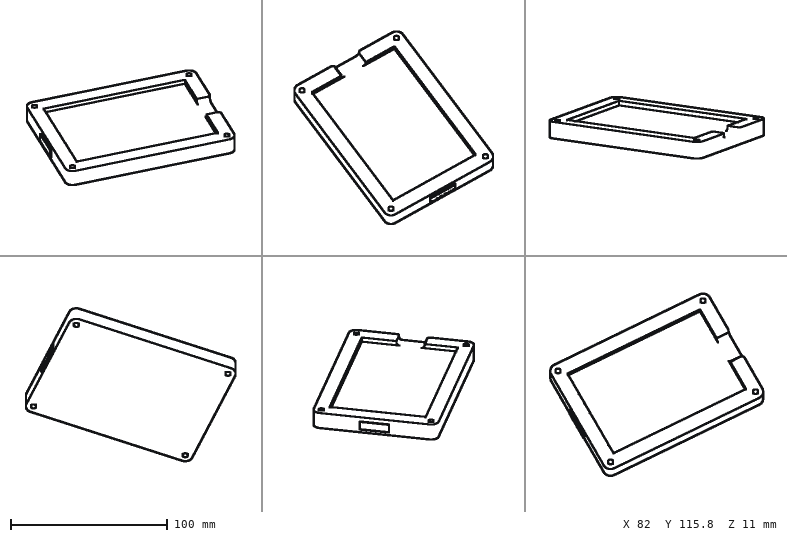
import cadquery as cq

overall_length = 115.8
nameplate_rise = 0.75
body_length = overall_length - nameplate_rise
body_width = 82.0
body_height = 11.0
corner_radius = 5.0

hole_diameter = 3.4

rim_width = 9.5
pocket_depth = 3.0
pocket_floor = body_height - pocket_depth

notch_width = 18.4
notch_offset = 0.5
notch_fillet = 2.0

nameplate_width = 19.2
nameplate_height = 5.5
nameplate_bottom = 2.4

back_face = body_length / 2
front_face = -body_length / 2


def make_body():
    """Flat block with rounded vertical corners, standing on Z = 0."""
    block = cq.Workplane("XY").box(body_width, body_length, body_height, centered=(True, True, False))
    return block.edges("|Z").fillet(corner_radius)


def make_pocket():
    """Volume removed by the rectangular pocket."""
    return (
        cq.Workplane("XY", origin=(0, 0, pocket_floor))
        .rect(body_width - 2 * rim_width, body_length - 2 * rim_width)
        .extrude(pocket_depth)
    )


def make_notch():
    """Volume removed by the notch: a rim-long channel with rounded floor corners."""
    return (
        cq.Workplane("XY", origin=(notch_offset, back_face - rim_width / 2, pocket_floor))
        .box(notch_width, rim_width, pocket_depth, centered=(True, True, False))
        .edges("|Y and <Z")
        .fillet(notch_fillet)
    )


def round_notch_mouth(part):
    """Round the floor and both walls of the notch where they meet the back face."""
    reach = 0.1
    mouth = cq.selectors.BoxSelector(
        (notch_offset - notch_width / 2 - reach, back_face - reach, pocket_floor - reach),
        (notch_offset + notch_width / 2 + reach, back_face + reach, body_height - reach),
    )
    return part.edges(mouth).fillet(notch_fillet)


def drill_mounting_holes(part):
    """Four through holes, one at the centre of each corner radius."""
    return (
        part.faces("<Z")
        .workplane(origin=(0, 0, 0))
        .rect(body_width - 2 * corner_radius, body_length - 2 * corner_radius, forConstruction=True)
        .vertices()
        .hole(hole_diameter)
    )


def make_nameplate():
    """Thin raised plate on the front face."""
    return cq.Workplane("XY", origin=(0, front_face, nameplate_bottom)).box(
        nameplate_width, 2 * nameplate_rise, nameplate_height, centered=(True, True, False)
    )


body = make_body().cut(make_pocket()).cut(make_notch())
body = round_notch_mouth(body)
body = drill_mounting_holes(body)
result = body.union(make_nameplate())